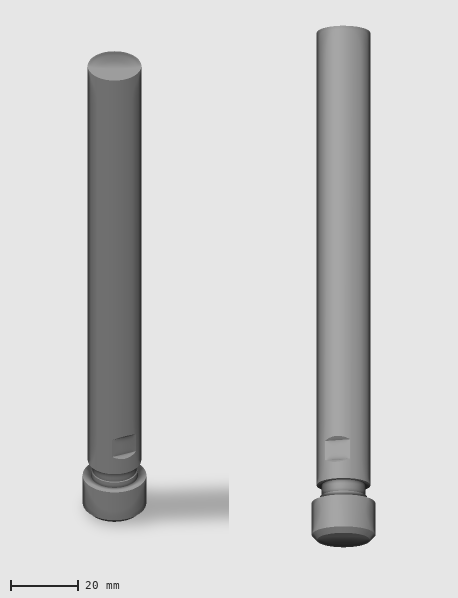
import cadquery as cq

total_height = 156.6
head_diameter = 19.0
shaft_diameter = 16.0
collar_diameter = 14.0
neck_diameter = 13.0

head_top = 11.5
collar_top = 13.3
neck_top = 16.9
head_chamfer = 1.5

across_flats = 14.0
flat_bottom = 23.0
flat_length = 6.0
flat_top = flat_bottom + flat_length


def cylinder(diameter, bottom, top):
    """Upright cylinder on the Z axis between two heights."""
    return cq.Workplane("XY").workplane(offset=bottom).circle(diameter / 2).extrude(top - bottom)


def flat_cutter(side):
    """Trapezoidal notch on the +X (side = 1) or -X (side = -1) face of the shaft."""
    inner = across_flats / 2
    outer = head_diameter / 2
    flare = outer - inner
    outline = [
        (side * inner, flat_bottom),
        (side * outer, flat_bottom - flare),
        (side * outer, flat_top + flare),
        (side * inner, flat_top),
    ]
    return cq.Workplane("XZ").polyline(outline).close().extrude(shaft_diameter / 2, both=True)


head = cylinder(head_diameter, 0, head_top).faces("<Z").chamfer(head_chamfer)

result = (
    head
    .union(cylinder(collar_diameter, head_top, collar_top))
    .union(cylinder(neck_diameter, collar_top, neck_top))
    .union(cylinder(shaft_diameter, neck_top, total_height))
)

for side in (-1, 1):
    result = result.cut(flat_cutter(side))